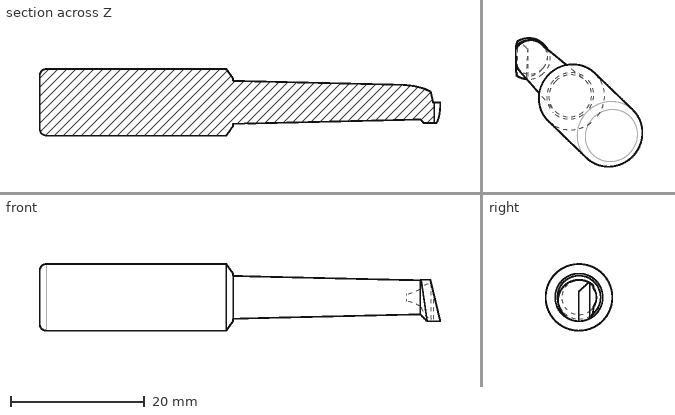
import cadquery as cq
import math

total_length = 60.0

shank_radius = 10.0 / 2
shank_length = 29.0
rear_fillet = 1.0
shoulder_chamfer_length = 1.0
shoulder_chamfer_depth = 1.45

neck_base_radius = 3.25
neck_tip_radius = 2.6
neck_end = 57.0

head_radius = 3.1
head_top = 2.65
head_center_z = head_top - head_radius
head_bottom = head_center_z - head_radius
head_back_top = 57.1
head_back_bottom = 58.0
rake_top = 58.5

relief_start = (54.9, 2.6)
relief_middle = (57.05, 2.2)
relief_end = (58.55, 1.6)
flank_corner = (58.9, 0.0)
relief_margin = 6.0


def make_shank():
    outer = cq.Workplane("YZ").circle(shank_radius).extrude(shank_length)
    outer = outer.faces("<X").edges().fillet(rear_fillet)
    return outer.faces(">X").chamfer(shoulder_chamfer_length, shoulder_chamfer_depth)


def make_neck():
    """Cone from the shank face to the back of the head."""
    return (
        cq.Workplane("XY")
        .moveTo(shank_length, 0)
        .lineTo(shank_length, neck_base_radius)
        .lineTo(neck_end, neck_tip_radius)
        .lineTo(neck_end, 0)
        .close()
        .revolve(360, (0, 0), (1, 0))
    )


def make_head():
    """Round disc between the sloping back face and the steeper rake face."""
    disc = (
        cq.Workplane("YZ", origin=(neck_end, 0, head_center_z))
        .circle(head_radius)
        .extrude(total_length - neck_end)
    )
    side_profile = (
        cq.Workplane("XZ")
        .polyline([
            (head_back_top, head_top),
            (rake_top, head_top),
            (total_length, head_bottom),
            (head_back_bottom, head_bottom),
        ])
        .close()
        .extrude(head_radius, both=True)
    )
    return disc.intersect(side_profile)


def make_flare():
    """Transition from the round neck end to the sloping back of the head."""
    back_run = head_back_bottom - head_back_top
    back_length = math.hypot(back_run, 2 * head_radius)
    back_center = ((head_back_top + head_back_bottom) / 2, 0, head_center_z)
    back_plane = cq.Plane(
        origin=back_center, xDir=(0, 1, 0), normal=(2 * head_radius, 0, back_run)
    )
    neck_ring = cq.Workplane("YZ", origin=(neck_end, 0, 0)).circle(neck_tip_radius)
    head_ring = cq.Workplane(back_plane).ellipse(head_radius, back_length / 2)
    rings = [neck_ring.wire().val(), head_ring.wire().val()]
    rings = [cq.Wire.assembleEdges(ring.Edges()) for ring in rings]
    return cq.Workplane(cq.Solid.makeLoft(rings, True))


def make_relief():
    """Curved clearance that leaves the cutting tooth on the -Y side only."""
    return (
        cq.Workplane("XY", origin=(0, 0, -relief_margin))
        .moveTo(*relief_start)
        .threePointArc(relief_middle, relief_end)
        .lineTo(*flank_corner)
        .lineTo(total_length + relief_margin, flank_corner[1])
        .lineTo(total_length + relief_margin, relief_margin)
        .lineTo(relief_start[0], relief_margin)
        .close()
        .extrude(2 * relief_margin)
    )


bar = make_shank().union(make_neck()).union(make_flare()).union(make_head())
result = bar.cut(make_relief())